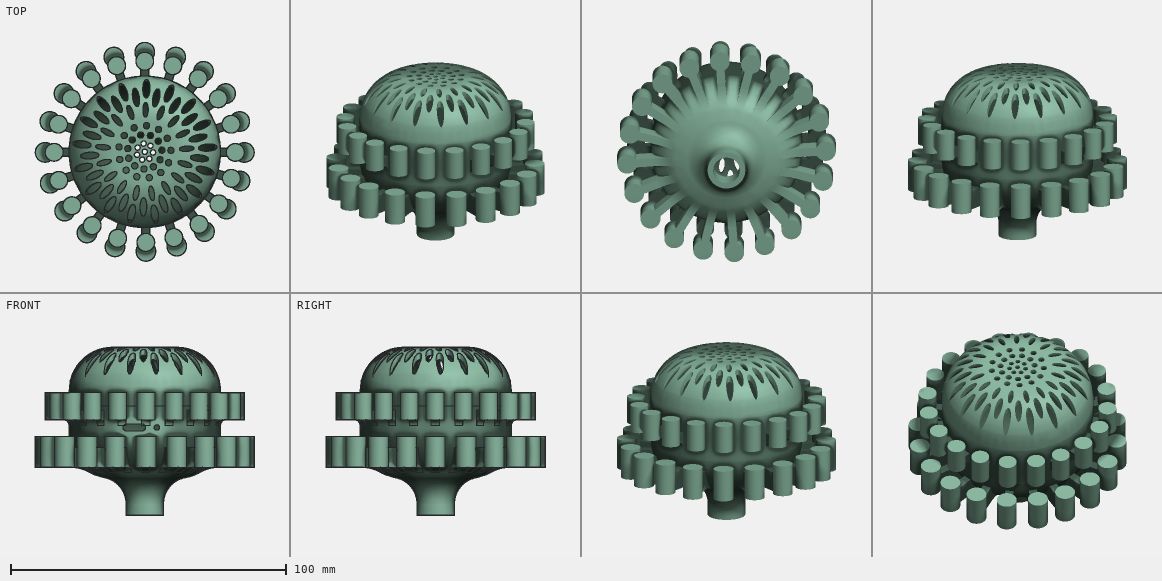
import cadquery as cq
import math

outer_radius = 27.5
wall = 2.0
total_height = 61.03
stem_radius = 13.67 / 2
stem_height = 4.3
bowl_radius = 15.2
bowl_top_z = 28.7
bore_height = 8.0
cavity_bowl_radius = 19.2
cavity_bowl_top_z = 33.5
split_z = 39.7
dome_radius = 16.0
dome_base_z = total_height - dome_radius
top_radius = outer_radius - dome_radius

pin_count = 20
pin_pitch = 18.07
first_pin_angle = -0.37
rib_width = 3.0
overall_radius = 79.46 / 2

lower_pin_diameter = 7.2
lower_pin_bottom_z = 17.4
lower_pin_top_z = bowl_top_z
lower_rib_top_z = 24.65
lower_fillet = 13.0

upper_pin_diameter = 6.5
upper_pin_ring_radius = 32.85
upper_pin_bottom_z = 34.7
upper_pin_top_z = 44.55
upper_rib_top_z = 38.2
upper_fillet = 2.0

port_z = 31.9
slot_x = -3.8
slot_length = 8.2
slot_height = 2.5
front_hole_x = 4.4
front_hole_diameter = 2.0

center_hole_diameter = 1.84
hole_rings = [
    (7, 3.0, -4.9, center_hole_diameter),
    (11, 6.25, 5.5, 2.3),
    (13, 9.5, 3.1, 2.3),
]
petal_rings = [
    (17, 15.25, 4.2, 5.4, 2.0),
    (17, 20.0, 14.5, 6.7, 2.5),
    (17, 22.9, 3.8, 6.7, 2.7),
]


def arc_point(center_r, center_z, radius, angle):
    """Point on an arc in the radial plane, at an angle in degrees from outward."""
    turn = math.radians(angle)
    return (center_r + radius * math.cos(turn), center_z + radius * math.sin(turn))


def cup_form(cylinder_radius, stem_radius, stem_height, bowl_radius, bowl_top_z):
    """Solid of revolution: a stem flares through a neck arc into a bowl arc, then a cylinder to the joint."""
    bowl_center_r = cylinder_radius - bowl_radius
    run = bowl_center_r - stem_radius
    rise = bowl_top_z - stem_height
    neck_radius = (run**2 + rise**2 - bowl_radius**2) / (2 * (bowl_radius + run))
    neck_center_r = stem_radius + neck_radius
    meet_angle = math.degrees(math.atan2(-rise, neck_center_r - bowl_center_r))
    neck_middle_angle = 180 + meet_angle / 2
    return (
        cq.Workplane("XZ")
        .lineTo(stem_radius, 0)
        .lineTo(stem_radius, stem_height)
        .threePointArc(
            arc_point(neck_center_r, stem_height, neck_radius, neck_middle_angle),
            arc_point(bowl_center_r, bowl_top_z, bowl_radius, meet_angle),
        )
        .threePointArc(
            arc_point(bowl_center_r, bowl_top_z, bowl_radius, meet_angle / 2),
            (cylinder_radius, bowl_top_z),
        )
        .lineTo(cylinder_radius, split_z)
        .lineTo(0, split_z)
        .close()
        .revolve(360, (0, 0, 0), (0, 1, 0))
    )


def lid_profile(inset):
    """Solid dome over a short skirt, moved inward by the inset."""
    return (
        cq.Workplane("XZ")
        .moveTo(0, split_z)
        .lineTo(outer_radius - inset, split_z)
        .lineTo(outer_radius - inset, dome_base_z)
        .threePointArc(
            arc_point(top_radius, dome_base_z, dome_radius - inset, 45),
            (top_radius, total_height - inset),
        )
        .lineTo(0, total_height - inset)
        .close()
        .revolve(360, (0, 0, 0), (0, 1, 0))
    )


def pin_and_rib(ring_radius, diameter, bottom_z, top_z, rib_outline):
    """One pin on +X with the rib that joins it to the cup."""
    rib = rib_outline.close().extrude(rib_width / 2, both=True)
    pin = (
        cq.Workplane("XY", origin=(ring_radius, 0, bottom_z))
        .circle(diameter / 2)
        .extrude(top_z - bottom_z)
    )
    return rib.union(pin)


bowl_center_r = outer_radius - bowl_radius
lower_pin_ring_radius = overall_radius - lower_pin_diameter / 2
lower_fillet_center_z = lower_pin_bottom_z - lower_fillet
lower_fillet_angle = math.degrees(
    math.asin((lower_fillet_center_z - bowl_top_z) / (bowl_radius + lower_fillet))
)
lower_fillet_center_r = arc_point(bowl_center_r, 0, bowl_radius + lower_fillet, lower_fillet_angle)[0]
lower_rib_foot = arc_point(bowl_center_r, bowl_top_z, bowl_radius, lower_fillet_angle)
lower_rib = (
    cq.Workplane("XZ")
    .moveTo(*lower_rib_foot)
    .threePointArc(
        arc_point(
            lower_fillet_center_r, lower_fillet_center_z, lower_fillet, (90 + 180 + lower_fillet_angle) / 2
        ),
        (lower_fillet_center_r, lower_pin_bottom_z),
    )
    .lineTo(lower_pin_ring_radius, lower_pin_bottom_z)
    .lineTo(lower_pin_ring_radius, lower_rib_top_z)
    .lineTo(lower_rib_foot[0], lower_rib_top_z)
)

upper_rib_root = outer_radius - wall / 2
upper_fillet_center_z = upper_pin_bottom_z - upper_fillet
upper_rib = (
    cq.Workplane("XZ")
    .moveTo(upper_rib_root, upper_fillet_center_z)
    .lineTo(outer_radius, upper_fillet_center_z)
    .threePointArc(
        arc_point(outer_radius + upper_fillet, upper_fillet_center_z, upper_fillet, 135),
        (outer_radius + upper_fillet, upper_pin_bottom_z),
    )
    .lineTo(upper_pin_ring_radius, upper_pin_bottom_z)
    .lineTo(upper_pin_ring_radius, upper_rib_top_z)
    .lineTo(upper_rib_root, upper_rib_top_z)
)

lower_arm = pin_and_rib(
    lower_pin_ring_radius, lower_pin_diameter, lower_pin_bottom_z, lower_pin_top_z, lower_rib
)
upper_arm = pin_and_rib(
    upper_pin_ring_radius, upper_pin_diameter, upper_pin_bottom_z, upper_pin_top_z, upper_rib
)
arms = []
for index in range(pin_count):
    angle = first_pin_angle + index * pin_pitch
    for arm in (lower_arm, upper_arm):
        arms.append(arm.val().rotate(cq.Vector(0, 0, 0), cq.Vector(0, 0, 1), angle))
body = cup_form(outer_radius, stem_radius, stem_height, bowl_radius, bowl_top_z)
cavity = cup_form(
    outer_radius - wall, stem_radius - wall, bore_height, cavity_bowl_radius, cavity_bowl_top_z
)
cup = cq.Workplane(body.val().fuse(*arms)).cut(cavity)

front_plane = cq.Workplane("XZ", origin=(0, 0, port_z))
slot = front_plane.center(slot_x, 0).slot2D(slot_length, slot_height).extrude(outer_radius + wall)
front_hole = front_plane.center(front_hole_x, 0).circle(front_hole_diameter / 2).extrude(outer_radius)
shell_band = cq.Workplane("XY", origin=(0, 0, bowl_top_z)).circle(outer_radius).extrude(split_z - bowl_top_z)
cup = cup.cut(slot.union(front_hole).intersect(shell_band))

lid = lid_profile(0).cut(lid_profile(wall))
lid_height = total_height - split_z
piercing = cq.Workplane("XY", origin=(0, 0, split_z))
openings = piercing.circle(center_hole_diameter / 2).extrude(lid_height).vals()
for count, ring_radius, first_angle, diameter in hole_rings:
    holes = piercing.polarArray(ring_radius, first_angle, 360, count).circle(diameter / 2)
    openings += holes.extrude(lid_height).vals()
for count, ring_radius, first_angle, length, width in petal_rings:
    petals = piercing.polarArray(ring_radius, first_angle, 360, count).ellipse(length / 2, width / 2)
    openings += petals.extrude(lid_height).vals()
lid = cq.Workplane(lid.val().cut(*openings))

result = cq.Compound.makeCompound([*cup.solids().vals(), *lid.solids().vals()])